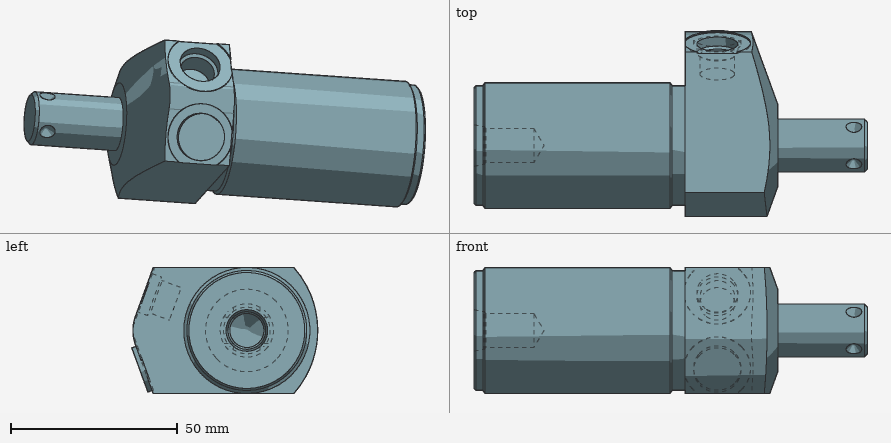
import cadquery as cq
import math

total_length = 118.14
body_diameter = 37.85
neck_diameter = 36.0
collar_length = 2.7
collar_edge_chamfer = 0.6
body_chamfer = 0.6
body_end = 59.5
head_start = 63.4
head_end = 91.2

head_height = body_diameter
head_bottom_y = -21.3
head_bottom_edge_y = -14.1
head_peak_y = 34.22
roof_angle = 20.0
roof_radius = 12.1
cone_face_radius = 12.4
cone_angle = 20.0

rod_diameter = 16.0
rod_chamfer = 1.0
dimple_diameter = 4.7
dimple_depth = 2.5
dimple_from_tip = 4.1
dimple_angles = (45, 135, 225, 315)

port_offset = 9.65
port_x = head_start + port_offset
port_z = 11.4
spot_face_diameter = 19.94
spot_face_depth = 0.42
port_diameter = 12.3
port_depth = 3.3
port_taper_depth = 0.6
port_core_diameter = 10.4
port_core_depth = 10.0
plug_diameter = 14.2
plug_height = 1.37

rear_mouth_diameter = 12.5
rear_throat_diameter = 11.3
rear_mouth_depth = 3.0
rear_step_length = 0.6
rear_drill_diameter = 10.2
rear_drill_depth = 18.0
drill_point_angle = 118.0

tan_roof = math.tan(math.radians(roof_angle))
sin_roof = math.sin(math.radians(roof_angle))
cos_roof = math.cos(math.radians(roof_angle))
roof_apex_y = head_peak_y + roof_radius * (1 / cos_roof - 1)


def drill_point_length(diameter):
    """Length of the conical tip left by a drill."""
    return diameter / 2 / math.tan(math.radians(drill_point_angle / 2))


def revolve_about_x(points):
    """Solid of revolution from a closed (x, radius) outline."""
    return cq.Workplane("XY").polyline(points).close().revolve(360, (0, 0, 0), (1, 0, 0))


def cylinder(origin, direction, diameter, length):
    """Cylinder starting at origin and running along direction."""
    return cq.Workplane(
        cq.Solid.makeCylinder(diameter / 2, length, cq.Vector(*origin), cq.Vector(*direction))
    )


def cone(origin, direction, start_diameter, end_diameter, length):
    """Cone or frustum starting at origin and running along direction."""
    return cq.Workplane(cq.Solid.makeCone(
        start_diameter / 2, end_diameter / 2, length, cq.Vector(*origin), cq.Vector(*direction),
    ))


def make_body():
    """Cylindrical housing with a reduced rear collar and a front neck."""
    neck_radius = neck_diameter / 2
    body_radius = body_diameter / 2
    return revolve_about_x([
        (0, 0),
        (0, neck_radius - collar_edge_chamfer),
        (collar_edge_chamfer, neck_radius),
        (collar_length, neck_radius),
        (collar_length + body_chamfer, body_radius),
        (body_end - body_chamfer, body_radius),
        (body_end, neck_radius),
        (head_start, neck_radius),
        (head_start, 0),
    ])


def make_head():
    """Block with a rounded ridge at +Y, a bulged -Y side and a coned front."""
    half_height = head_height / 2
    roof_edge_y = roof_apex_y - half_height * tan_roof
    tangent_z = roof_radius * sin_roof
    tangent_y = roof_apex_y - tangent_z * tan_roof
    block = (
        cq.Workplane("YZ", origin=(head_start, 0, 0))
        .moveTo(head_bottom_edge_y, -half_height)
        .lineTo(roof_edge_y, -half_height)
        .lineTo(tangent_y, -tangent_z)
        .threePointArc((head_peak_y, 0), (tangent_y, tangent_z))
        .lineTo(roof_edge_y, half_height)
        .lineTo(head_bottom_edge_y, half_height)
        .threePointArc((head_bottom_y, 0), (head_bottom_edge_y, -half_height))
        .close()
        .extrude(head_end - head_start)
    )
    envelope_radius = head_peak_y + half_height
    cone_drop = (envelope_radius - cone_face_radius) * math.tan(math.radians(cone_angle))
    cone_envelope = revolve_about_x([
        (head_end - cone_drop, 0),
        (head_end, 0),
        (head_end, cone_face_radius),
        (head_end - cone_drop, envelope_radius),
    ])
    straight_envelope = cylinder(
        (head_end - cone_drop, 0, 0), (-1, 0, 0), 2 * envelope_radius, head_end
    )
    return block.intersect(cone_envelope.union(straight_envelope))


def make_rod():
    """Piston rod with a chamfered tip and four conical dimples around it."""
    rod = cylinder((head_end, 0, 0), (1, 0, 0), rod_diameter, total_length - head_end)
    rod = rod.faces(">X").chamfer(rod_chamfer)
    dimple = cone(
        (total_length - dimple_from_tip, 0, rod_diameter / 2 - dimple_depth),
        (0, 0, 1), 0, dimple_diameter, dimple_depth,
    )
    for angle in dimple_angles:
        rod = rod.cut(dimple.rotate((0, 0, 0), (1, 0, 0), angle))
    return rod


def face_normal(side):
    """Outward direction of the sloping face on the +Z (1) or -Z (-1) side."""
    return (0, cos_roof, side * sin_roof)


def port_point(side, height):
    """Point on a port axis at the given height above its sloping face."""
    face_y = roof_apex_y - port_z * tan_roof
    return (port_x, face_y + height * cos_roof, side * (port_z + height * sin_roof))


def port_cylinder(side, diameter, bottom, top):
    """Cylinder square to a sloping face; bottom and top are heights above that face."""
    return cylinder(port_point(side, bottom), face_normal(side), diameter, top - bottom)


def cut_ports(part):
    """Spot face both slopes, bore the +Z port and close the -Z port with a plug."""
    for side in (1, -1):
        part = part.cut(port_cylinder(side, spot_face_diameter, -spot_face_depth, plug_height))
    part = part.cut(port_cylinder(1, port_diameter, -port_depth, plug_height))
    part = part.cut(port_cylinder(1, port_core_diameter, -port_core_depth, -port_depth))
    part = part.cut(cone(
        port_point(1, -port_depth - port_taper_depth), face_normal(1),
        port_core_diameter, port_diameter, port_taper_depth,
    ))
    return part.union(port_cylinder(-1, plug_diameter, -port_depth, plug_height))


def cut_rear_hole(part):
    """Blind hole with a tapered mouth, a conical step and a drill point in the rear end face."""
    drill_radius = rear_drill_diameter / 2
    return part.cut(revolve_about_x([
        (0, 0),
        (0, rear_mouth_diameter / 2),
        (rear_mouth_depth, rear_throat_diameter / 2),
        (rear_mouth_depth + rear_step_length, drill_radius),
        (rear_drill_depth, drill_radius),
        (rear_drill_depth + drill_point_length(rear_drill_diameter), 0),
    ]))


housing = make_body().union(make_head()).union(make_rod())
result = cut_rear_hole(cut_ports(housing))